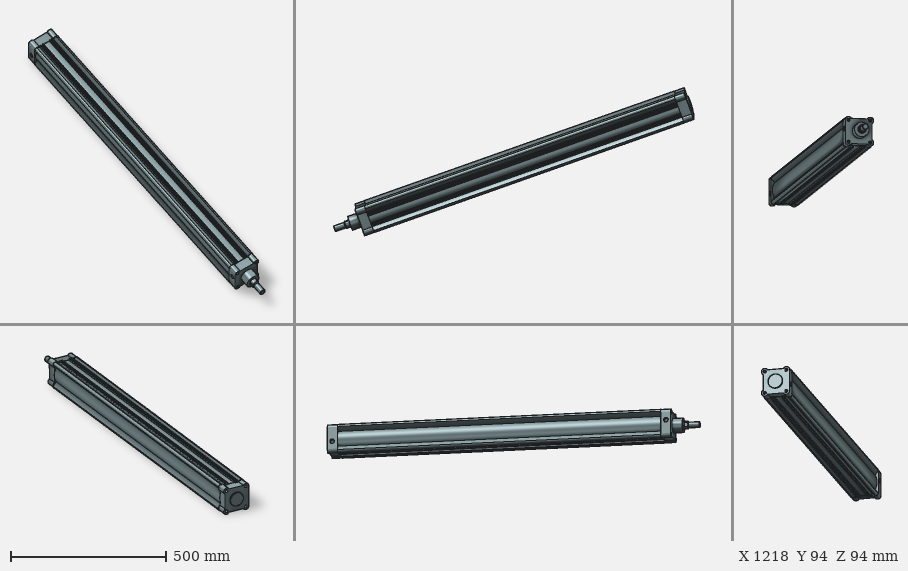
import cadquery as cq
import math

TOTAL_LENGTH = 1218.0
BOSS_HEIGHT = 5.0
CAP_LENGTH = 33.0
FRONT_CAP_END = 1132.0
NECK_LENGTH = 33.0
REAR_CAP_START = BOSS_HEIGHT
BARREL_START = REAR_CAP_START + CAP_LENGTH
FRONT_CAP_START = FRONT_CAP_END - CAP_LENGTH
BARREL_LENGTH = FRONT_CAP_START - BARREL_START
NECK_END = FRONT_CAP_END + NECK_LENGTH

WIDTH = 94.0
HALF_WIDTH = WIDTH / 2
COLLAR_DIAMETER = 48.0

LOBE_RADIUS = 11.0
LOBE_CENTRE = HALF_WIDTH - LOBE_RADIUS
LOWERED_FACE = 41.0
PORT_FACE = HALF_WIDTH
SCREW_HOLE_DIAMETER = 10.0
SCREW_HOLE_DEPTH = 16.0
PORT_DIAMETER = 15.0
PORT_DEPTH = 15.0
REAR_PORT_X = 21.0
FRONT_PORT_X = 1116.0
PORT_OFFSET = 10.0

BARREL_RADIUS = 43.0
RIB_ROOT = 24.0
RIB_CORNER_RADIUS = 9.0
RAIL_CENTRE = 18.0
RAIL_WIDTH = 12.0
SLOT_WIDTH = 5.0
SLOT_DEPTH = 7.0

ROD_DIAMETER = 25.0
ROD_SHOULDER = 1183.0
ROD_CHAMFER = 4.0
THREAD_DIAMETER = 20.0
THREAD_CHAMFER = 1.0
FLAT_START = 1169.0
FLAT_END = ROD_SHOULDER
ACROSS_FLATS = 22.0


def yz_plane(x):
    """Sketch plane across the axis at x, with local axes along Y and Z."""
    return cq.Workplane("YZ", origin=(x, 0, 0))


def at_corners(x):
    """The four lobe centres, which are also the screw positions, on the plane at x."""
    spacing = 2 * LOBE_CENTRE
    return yz_plane(x).rect(spacing, spacing, forConstruction=True).vertices()


def end_cap(start, screw_hole_start, port_x, port_z):
    """Cap block with four corner lobes, four screw holes and a port in its -Y face."""
    block_depth = PORT_FACE + LOWERED_FACE
    block_middle = (LOWERED_FACE - PORT_FACE) / 2
    cap = yz_plane(start).center(block_middle, 0).rect(block_depth, 2 * LOBE_CENTRE).extrude(CAP_LENGTH)
    cap = cap.union(yz_plane(start).rect(2 * LOBE_CENTRE, 2 * LOWERED_FACE).extrude(CAP_LENGTH))
    cap = cap.union(at_corners(start).circle(LOBE_RADIUS).extrude(CAP_LENGTH))

    screw_holes = at_corners(screw_hole_start).circle(SCREW_HOLE_DIAMETER / 2).extrude(SCREW_HOLE_DEPTH)
    port_plane = cq.Workplane("XZ", origin=(port_x, -PORT_FACE, port_z))
    port = port_plane.circle(PORT_DIAMETER / 2).extrude(-PORT_DEPTH)
    return cap.cut(screw_holes).cut(port)


def make_rear_cap():
    """Rear cap with its shallow round boss."""
    cap = end_cap(REAR_CAP_START, REAR_CAP_START, REAR_PORT_X, -PORT_OFFSET)
    return cap.union(yz_plane(0).circle(COLLAR_DIAMETER / 2).extrude(BOSS_HEIGHT))


def make_front_cap():
    """Front cap with its neck and the bore that guides the rod."""
    cap = end_cap(FRONT_CAP_START, FRONT_CAP_END - SCREW_HOLE_DEPTH, FRONT_PORT_X, PORT_OFFSET)
    cap = cap.union(yz_plane(FRONT_CAP_END).circle(COLLAR_DIAMETER / 2).extrude(NECK_LENGTH))
    bore_length = NECK_END - FRONT_CAP_START
    return cap.cut(yz_plane(FRONT_CAP_START).circle(ROD_DIAMETER / 2).extrude(bore_length))


def corner_rib():
    """Rib at the +Y +Z corner, with a rounded outer corner and two straight flanks."""
    root_height = math.sqrt(BARREL_RADIUS**2 - RIB_ROOT**2)
    arc_centre = HALF_WIDTH - RIB_CORNER_RADIUS
    arc_middle = arc_centre + RIB_CORNER_RADIUS * math.sqrt(0.5)
    return (
        yz_plane(BARREL_START)
        .lineTo(root_height, RIB_ROOT)
        .lineTo(HALF_WIDTH, arc_centre)
        .threePointArc((arc_middle, arc_middle), (arc_centre, HALF_WIDTH))
        .lineTo(RIB_ROOT, root_height)
        .close()
        .extrude(BARREL_LENGTH)
    )


def make_barrel():
    """Round barrel with four corner ribs and slotted sensor rails on the top and the bottom."""
    barrel = yz_plane(BARREL_START).circle(BARREL_RADIUS).extrude(BARREL_LENGTH)
    rib = corner_rib()
    for quarter in range(4):
        barrel = barrel.union(rib.rotate((0, 0, 0), (1, 0, 0), 90 * quarter))

    rail_places = [(-RAIL_CENTRE, 0), (RAIL_CENTRE, 0)]
    rails = yz_plane(BARREL_START).pushPoints(rail_places).rect(RAIL_WIDTH, WIDTH).extrude(BARREL_LENGTH)
    barrel = barrel.union(rails)

    slot_centre = HALF_WIDTH - SLOT_DEPTH / 2
    slot_places = [(y, z) for y in (-RAIL_CENTRE, RAIL_CENTRE) for z in (-slot_centre, slot_centre)]
    slots = yz_plane(BARREL_START).pushPoints(slot_places).rect(SLOT_WIDTH, SLOT_DEPTH).extrude(BARREL_LENGTH)
    return barrel.cut(slots)


def make_rod():
    """Rod with two wrench flats and a thinner, plain thread end."""
    rod = yz_plane(FRONT_CAP_START).circle(ROD_DIAMETER / 2).extrude(ROD_SHOULDER - FRONT_CAP_START)
    rod = rod.faces(">X").chamfer(ROD_CHAMFER)
    thread = yz_plane(ROD_SHOULDER).circle(THREAD_DIAMETER / 2).extrude(TOTAL_LENGTH - ROD_SHOULDER)
    rod = rod.union(thread.faces(">X").chamfer(THREAD_CHAMFER))

    flat_length = FLAT_END - FLAT_START
    outside_flats = (
        yz_plane(FLAT_START)
        .rect(2 * ROD_DIAMETER, 2 * ROD_DIAMETER)
        .rect(ACROSS_FLATS, 2 * ROD_DIAMETER)
        .extrude(flat_length)
    )
    return rod.cut(outside_flats)


rear_cap = make_rear_cap()
barrel = make_barrel()
front_cap = make_front_cap()
rod = make_rod()

result = cq.Compound.makeCompound([rear_cap.val(), barrel.val(), front_cap.val(), rod.val()])